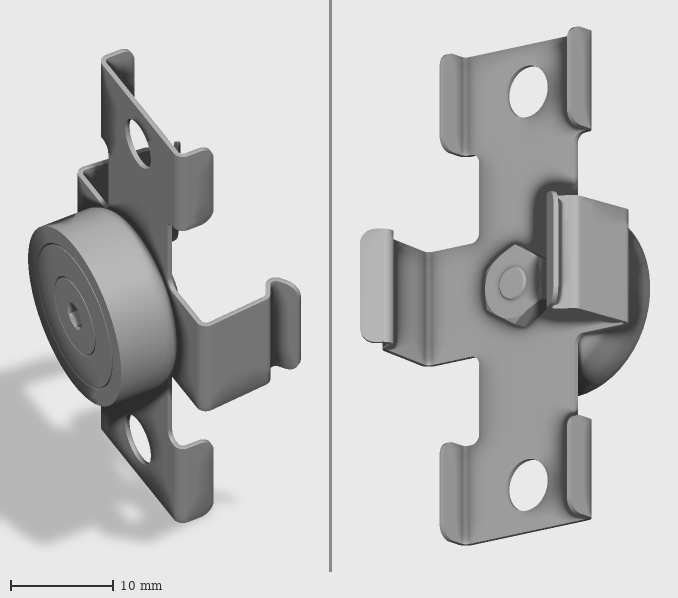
import cadquery as cq
import math

pick_tolerance = 0.01

sheet = 0.5
bend_inner = 0.5
bend_outer = bend_inner + sheet
height = 49.5
strip_width = 12.0

end_width = 16.5
end_length = 10.0
mount_hole_diameter = 5.2
mount_hole_spacing = 40.0
tab_reach = 3.9
tab_corner_radius = 1.5

clip_span = 25.81
clip_width = 11.5
arm_lean = 5.0
arm_corner_y = 8.0
return_angle = 150.0
return_length = 2.7
flare_angle = 35.0
clip_reach = 11.5
flare_corner_radius = 1.5
inside_corner_radius = 1.0

pot_diameter = 18.8
pot_depth = 7.1
pot_shoulder_radius = 2.0
magnet_groove_radius = 7.65
screw_groove_radius = 4.2
groove_width = 0.2

socket_flats = 2.5
socket_depth = 1.5
nut_flats = 7.0
nut_height = 2.2
nut_chamfer_angle = 30.0
screw_diameter = 4.0
screw_chamfer = 0.5
screw_protrusion = 0.2


def direction(angle):
    """Unit XY vector at an angle in degrees from +X."""
    return cq.Vector(math.cos(math.radians(angle)), math.sin(math.radians(angle)))


def centered_block(x_size, y_min, y_size, z_size):
    """Block centred on X and Z that starts at y_min."""
    block = cq.Workplane("XY").box(x_size, y_size, z_size, centered=(True, False, True))
    return block.translate((0, y_min, 0))


def y_cylinder(radius, y_min, length):
    """Cylinder along +Y that starts at y_min."""
    return cq.Workplane("XZ", origin=(0, y_min, 0)).circle(radius).extrude(-length)


def hex_corner_radius(flats):
    """Distance from the centre of a hexagon to its corners."""
    return flats / math.sqrt(3)


def hex_prism(flats, y_min, length):
    """Hexagonal prism along +Y with two of its flats facing +X and -X."""
    corner_diameter = 2 * hex_corner_radius(flats)
    prism = cq.Workplane("XZ", origin=(0, y_min, 0)).polygon(6, corner_diameter).extrude(-length)
    half_sector = 360 / 12
    return prism.rotate((0, 0, 0), (0, 1, 0), half_sector)


def fillet_bend(body, corner, radius):
    """Round the Z-parallel edge that passes through an XY corner point."""
    x, y = corner.x, corner.y
    reach = pick_tolerance
    selector = cq.selectors.BoxSelector((x - reach, y - reach, -height), (x + reach, y + reach, height))
    return body.edges("|Z").edges(selector).fillet(radius)


def bent_strip(start, legs, width):
    """Constant-thickness strip along straight (angle, length) legs, rounded at every bend.

    The legs trace the face on the right-hand side of travel; the sheet lies on its left.
    """
    right = [start]
    for angle, length in legs:
        right.append(right[-1] + direction(angle) * length)

    left = [start + direction(legs[0][0] + 90) * sheet]
    turns = []
    for corner, (angle_in, _), (angle_out, _) in zip(right[1:], legs, legs[1:]):
        turn = angle_out - angle_in
        miter = sheet / math.cos(math.radians(turn / 2))
        left.append(corner + direction((angle_in + angle_out) / 2 + 90) * miter)
        turns.append(turn)
    left.append(right[-1] + direction(legs[-1][0] + 90) * sheet)

    outline = [(p.x, p.y) for p in right + left[::-1]]
    strip = cq.Workplane("XY").polyline(outline).close().extrude(width / 2, both=True)
    for right_corner, left_corner, turn in zip(right[1:], left[1:], turns):
        right_radius, left_radius = (bend_outer, bend_inner) if turn > 0 else (bend_inner, bend_outer)
        strip = fillet_bend(strip, right_corner, right_radius)
        strip = fillet_bend(strip, left_corner, left_radius)
    return strip


def clip_arm():
    """Spring arm on the +X side: base, leaning wall, inward return and outward flare."""
    lean = math.radians(arm_lean)
    bend_center_x = clip_span / 2 - bend_outer
    base_corner_x = bend_center_x + bend_outer * (1 + math.sin(lean)) / math.cos(lean)
    flare = math.radians(flare_angle)
    flare_start_y = arm_corner_y + return_length * math.sin(math.radians(return_angle))
    flare_length = (clip_reach - sheet * math.cos(flare) - flare_start_y) / math.sin(flare)
    legs = [
        (0, base_corner_x),
        (90 + arm_lean, arm_corner_y / math.cos(lean)),
        (return_angle, return_length),
        (flare_angle, flare_length),
    ]
    arm = bent_strip(cq.Vector(0, 0), legs, clip_width)
    tip = arm.faces(cq.selectors.DirectionMinMaxSelector(direction(flare_angle)))
    return tip.edges("not |Z").fillet(flare_corner_radius)


def end_tab():
    """Side tab on the +X side, centred on Z = 0, bent square to the base."""
    legs = [(0, end_width / 2), (90, tab_reach)]
    tab = bent_strip(cq.Vector(0, 0), legs, end_length)
    return tab.faces(">Y").edges("|X").fillet(tab_corner_radius)


def base_plate():
    """Flat cross-shaped base between the bends, with its inside corners rounded."""
    end_z = (height - end_length) / 2
    end_plate = centered_block(end_width - 2 * bend_outer, 0, sheet, end_length)
    plate = centered_block(strip_width, 0, sheet, height)
    plate = plate.union(centered_block(clip_span - 2 * bend_outer, 0, sheet, clip_width))
    for side in (-1, 1):
        plate = plate.union(end_plate.translate((0, 0, side * end_z)))
    inside_corners = plate.edges("|Y").filter(
        lambda edge: math.isclose(abs(edge.Center().x), strip_width / 2, abs_tol=pick_tolerance)
    )
    return inside_corners.fillet(inside_corner_radius)


def both_sides(half):
    """A +X half joined with its mirror image."""
    return half.union(half.mirror("YZ"))


def bracket():
    """Base, spring clip and four end tabs, with the two mounting holes cut."""
    body = base_plate().union(both_sides(clip_arm()))
    tabs = both_sides(end_tab())
    end_z = (height - end_length) / 2
    hole = y_cylinder(mount_hole_diameter / 2, 0, sheet)
    for side in (-1, 1):
        body = body.union(tabs.translate((0, 0, side * end_z)))
        body = body.cut(hole.translate((0, 0, side * mount_hole_spacing / 2)))
    return body


def groove(outer_radius):
    """Ring groove in the magnet face: sloped outer wall, straight inner wall."""
    inner_radius = outer_radius - groove_width
    profile = [
        (inner_radius, -pot_depth),
        (outer_radius, -pot_depth),
        (inner_radius, groove_width - pot_depth),
    ]
    return cq.Workplane("XY").polyline(profile).close().revolve(360, (0, 0, 0), (0, 1, 0))


def socket():
    """Hex socket in the screw head with a chamfer as wide as its corners."""
    corner_radius = hex_corner_radius(socket_flats)
    recess = hex_prism(socket_flats, -pot_depth, socket_depth)
    chamfer_depth = corner_radius - socket_flats / 2
    chamfer = cq.Solid.makeCone(
        corner_radius, socket_flats / 2, chamfer_depth, cq.Vector(0, -pot_depth, 0), cq.Vector(0, 1, 0)
    )
    return recess.union(cq.Workplane(chamfer))


def pot_magnet():
    """Cylindrical pot with a rounded back edge, two ring grooves and the screw socket."""
    pot = y_cylinder(pot_diameter / 2, -pot_depth, pot_depth)
    pot = pot.faces(">Y").edges().fillet(pot_shoulder_radius)
    return pot.cut(groove(magnet_groove_radius)).cut(groove(screw_groove_radius)).cut(socket())


def nut():
    """Hex nut on the back of the base with both ends chamfered at the corners."""
    corner_radius = hex_corner_radius(nut_flats)
    face_radius = nut_flats / 2
    slope = (corner_radius - face_radius) * math.tan(math.radians(nut_chamfer_angle))
    profile = [
        (0, sheet),
        (face_radius, sheet),
        (corner_radius, sheet + slope),
        (corner_radius, sheet + nut_height - slope),
        (face_radius, sheet + nut_height),
        (0, sheet + nut_height),
    ]
    envelope = cq.Workplane("XY").polyline(profile).close().revolve(360, (0, 0, 0), (0, 1, 0))
    return hex_prism(nut_flats, sheet, nut_height).intersect(envelope)


def screw_end():
    """Chamfered screw end standing slightly proud of the nut."""
    end = y_cylinder(screw_diameter / 2, sheet, nut_height + screw_protrusion)
    return end.faces(">Y").edges().chamfer(screw_chamfer)


result = bracket().union(pot_magnet()).union(nut()).union(screw_end())